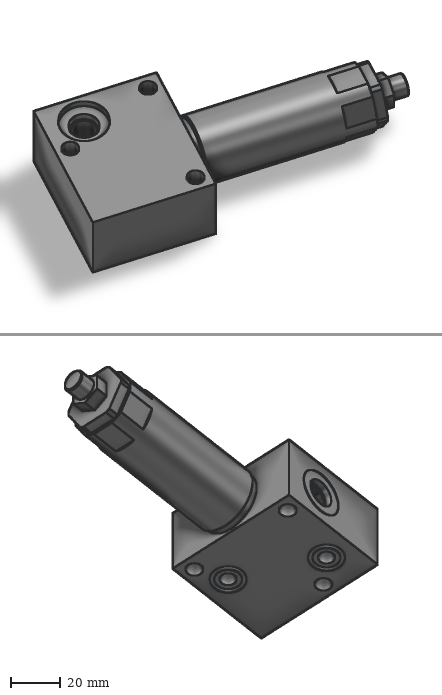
import cadquery as cq
import math

BLOCK_WIDTH = 63.5
BLOCK_LENGTH = 53.9
BLOCK_HEIGHT = 31.7

MOUNT_DIAMETER = 7.2
REAR_MOUNT_X = 25.5
REAR_MOUNT_Y = 47.6
FRONT_MOUNT_X = -7.8
FRONT_MOUNT_Y = 6.3

PORT_SPOTFACE_DIAMETER = 21.0
PORT_MOUTH_DIAMETER = 12.5
PORT_THREAD_DIAMETER = 10.6
PORT_SEAT_DIAMETER = 11.7
PORT_MOUTH_DEPTH = 2.7
PORT_CHAMFER = (PORT_SEAT_DIAMETER - PORT_THREAD_DIAMETER) / 2
PORT_DEPTH = 13.5
PASSAGE_DIAMETER = 6.9
PORT_FLOOR_DIAMETER = 6.0
PORT_FLOOR_CONE_LENGTH = 1.5
DRILL_POINT_ANGLE = 118
RISER_TIP_Z = 1.2
CROSS_DRILL_OVERRUN = 0.3
TOP_SPOTFACE_DEPTH = 3.0
SIDE_SPOTFACE_DEPTH = 0.2
TOP_PORT_X = -19.0
TOP_PORT_Y = 16.9
SIDE_PORT_Y = 34.3
RISER_X = -TOP_PORT_X

SEAL_SECTION_RADIUS = 0.9
SEAL_RING_RADIUS = 6.6

TOTAL_LENGTH = 149.6
BODY_START = 57.3
FLATS_START = 118.0
BODY_END = 131.5
NUT_END = 136.5
LOCKNUT_END = 142.3
NECK_DIAMETER = 28.3
NECK_CHAMFER = 0.6
BODY_DIAMETER = 30.0
BODY_FLATS = 28.5
NUT_FLATS = 25.7
NUT_ROUND_DIAMETER = 28.6
LOCKNUT_FLATS = 13.0
LOCKNUT_TURN = 30
STEM_DIAMETER = 9.7
STEM_CHAMFER = 0.5

HEX_SIDES = 6
HEX_CORNER_RATIO = 1 / math.cos(math.pi / HEX_SIDES)


def rod(diameter, start, end):
    """Round bar on the cartridge axis between two Y positions."""
    plane = cq.Workplane("XZ", origin=(0, start, 0))
    return plane.circle(diameter / 2).extrude(start - end)


def hex_bar(across_flats, start, end, turn=0):
    """Hexagonal bar on the cartridge axis, turned in degrees; turn 0 puts corners on X."""
    plane = cq.Workplane("XZ", origin=(0, start, 0))
    bar = plane.polygon(HEX_SIDES, across_flats * HEX_CORNER_RATIO).extrude(start - end)
    return bar.rotate((0, 0, 0), (0, 1, 0), turn)


def port_cutter(spotface_depth):
    """Port bored along -Z from the origin: spotface, tapered mouth, chamfer, thread, cone."""
    mouth_end = -spotface_depth - PORT_MOUTH_DEPTH
    thread_start = mouth_end - PORT_CHAMFER
    thread_end = -spotface_depth - PORT_DEPTH
    profile = (
        cq.Workplane("XZ")
        .lineTo(PORT_SPOTFACE_DIAMETER / 2, 0)
        .lineTo(PORT_SPOTFACE_DIAMETER / 2, -spotface_depth)
        .lineTo(PORT_MOUTH_DIAMETER / 2, -spotface_depth)
        .lineTo(PORT_SEAT_DIAMETER / 2, mouth_end)
        .lineTo(PORT_THREAD_DIAMETER / 2, thread_start)
        .lineTo(PORT_THREAD_DIAMETER / 2, thread_end)
        .lineTo(PORT_FLOOR_DIAMETER / 2, thread_end - PORT_FLOOR_CONE_LENGTH)
        .lineTo(0, thread_end - PORT_FLOOR_CONE_LENGTH)
        .close()
    )
    return profile.revolve(360, (0, 0, 0), (0, 1, 0))


def riser_cutter():
    """Passage drilled along +Z from the bottom face, ending in a drill point."""
    radius = PASSAGE_DIAMETER / 2
    point_length = radius / math.tan(math.radians(DRILL_POINT_ANGLE / 2))
    profile = (
        cq.Workplane("XZ")
        .moveTo(0, -BLOCK_HEIGHT / 2)
        .lineTo(radius, -BLOCK_HEIGHT / 2)
        .lineTo(radius, RISER_TIP_Z - point_length)
        .lineTo(0, RISER_TIP_Z)
        .close()
    )
    return profile.revolve(360, (0, 0, 0), (0, 1, 0))


def seal_ring(x, y):
    """Ring bead of half-round section below the bottom face."""
    profile = (
        cq.Workplane("XZ")
        .moveTo(SEAL_RING_RADIUS - SEAL_SECTION_RADIUS, 0)
        .threePointArc(
            (SEAL_RING_RADIUS, -SEAL_SECTION_RADIUS),
            (SEAL_RING_RADIUS + SEAL_SECTION_RADIUS, 0),
        )
        .close()
    )
    return profile.revolve(360, (0, 0, 0), (0, 1, 0)).translate((x, y, -BLOCK_HEIGHT / 2))


def make_block():
    block = cq.Workplane("XY").box(BLOCK_WIDTH, BLOCK_LENGTH, BLOCK_HEIGHT)
    block = block.translate((0, BLOCK_LENGTH / 2, 0))
    mounts = [
        (-REAR_MOUNT_X, REAR_MOUNT_Y),
        (REAR_MOUNT_X, REAR_MOUNT_Y),
        (FRONT_MOUNT_X, FRONT_MOUNT_Y),
    ]
    base = cq.Workplane("XY", origin=(0, 0, -BLOCK_HEIGHT / 2))
    block = block.cut(base.pushPoints(mounts).circle(MOUNT_DIAMETER / 2).extrude(BLOCK_HEIGHT))

    top_port = port_cutter(TOP_SPOTFACE_DEPTH).translate((TOP_PORT_X, TOP_PORT_Y, BLOCK_HEIGHT / 2))
    passage = base.center(TOP_PORT_X, TOP_PORT_Y).circle(PASSAGE_DIAMETER / 2).extrude(BLOCK_HEIGHT)
    block = block.cut(top_port).cut(passage)

    side_port = port_cutter(SIDE_SPOTFACE_DEPTH).rotate((0, 0, 0), (0, 1, 0), -90)
    side_port = side_port.translate((-BLOCK_WIDTH / 2, SIDE_PORT_Y, 0))
    cross_drill = (
        cq.Workplane("YZ", origin=(-BLOCK_WIDTH / 2, SIDE_PORT_Y, 0))
        .circle(PORT_FLOOR_DIAMETER / 2)
        .extrude(BLOCK_WIDTH / 2 + RISER_X + CROSS_DRILL_OVERRUN)
    )
    riser = riser_cutter().translate((RISER_X, SIDE_PORT_Y, 0))
    block = block.cut(side_port).cut(cross_drill).cut(riser)

    block = block.union(seal_ring(TOP_PORT_X, TOP_PORT_Y))
    return block.union(seal_ring(RISER_X, SIDE_PORT_Y))


def make_cartridge():
    body = rod(BODY_DIAMETER, BODY_START, FLATS_START)
    flats = rod(BODY_DIAMETER, FLATS_START, BODY_END)
    flats = flats.intersect(hex_bar(BODY_FLATS, FLATS_START, BODY_END))
    nut = hex_bar(NUT_FLATS, BODY_END, NUT_END)
    nut = nut.intersect(rod(NUT_ROUND_DIAMETER, BODY_END, NUT_END))
    locknut = hex_bar(LOCKNUT_FLATS, NUT_END, LOCKNUT_END, LOCKNUT_TURN)
    stem = rod(STEM_DIAMETER, LOCKNUT_END, TOTAL_LENGTH).faces(">Y").chamfer(STEM_CHAMFER)
    neck = rod(NECK_DIAMETER, BLOCK_LENGTH, BODY_START).faces(">Y").chamfer(NECK_CHAMFER)
    return neck.union(body).union(flats).union(nut).union(locknut).union(stem)


result = make_block().union(make_cartridge())